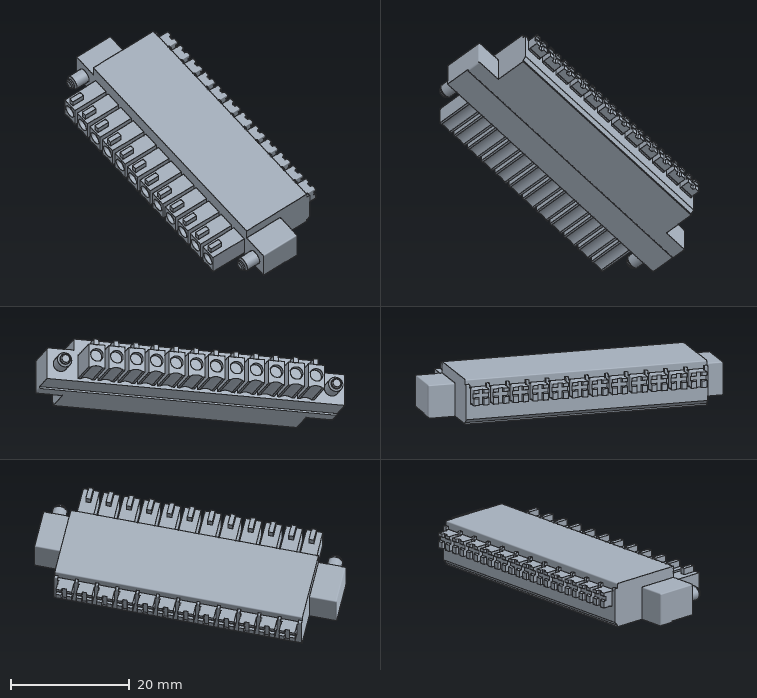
import cadquery as cq


contact_count = 12
pitch = 3.5
contact_xs = [(i - (contact_count - 1) / 2) * pitch for i in range(contact_count)]

housing_width = 42.8
housing_height = 7.8
housing_back = 12.8
lip_back = 13.4
lip_top = 6.95
lip_fillet = 0.15
back_fillet = 0.25
front_step_depth = 4.55
front_step_height = 0.3
back_chamfer_bottom = 0.3
back_chamfer_top = 0.95

overall_width = 52.3
flange_depth = 7.2
flange_height = 5.8
flange_fillet = 0.25

screw_x = 23.8
screw_axis_z = 3.05
screw_radius = 1.25
shank_length = 2.55
tip_radius = 0.9
tip_start = 2.8
screw_length = 3.3
tip_chamfer = 0.2

prong_length = 6.6
prong_root_width = 2.95
prong_end_width = 2.8
prong_bottom = 0.8
prong_top = 4.85
groove_half_width = 1.05
groove_height = 0.3
socket_radius = 1.1
socket_depth = 0.9
socket_axis_z = 3.05

key_width = 0.85
key_length = 2.25
key_setback = 0.3
key_top = 5.95

head_back = 15.2
head_width = 2.7
head_bottom = 3.75
head_top = 6.45
head_fillet = 0.15
head_recess_width = 3.0
foot_length = 0.3
foot_height = 0.1
slot_mouth_width = 0.95
slot_floor_width = 0.7
slot_depth = 0.4
slot_axis_z = 5.4


def block(x0, x1, y0, y1, z0, z1):
    """Box between opposite corners."""
    return cq.Workplane("XY").box(x1 - x0, y1 - y0, z1 - z0, centered=False).translate((x0, y0, z0))


def wide_block(width, y0, y1, z0, z1):
    """Box centred on X = 0."""
    return block(-width / 2, width / 2, y0, y1, z0, z1)


def make_housing():
    """Side profile of the housing, extruded over its width, with the two upper back edges rounded."""
    profile = [
        (0, 0),
        (housing_back, 0),
        (housing_back, back_chamfer_bottom),
        (lip_back, back_chamfer_top),
        (lip_back, lip_top),
        (housing_back, lip_top),
        (housing_back, housing_height),
        (0, housing_height),
    ]
    housing = cq.Workplane("YZ").polyline(profile).close().extrude(housing_width / 2, both=True)
    lip_edge = cq.selectors.NearestToPointSelector((0, lip_back, lip_top))
    back_edge = cq.selectors.NearestToPointSelector((0, housing_back, housing_height))
    return housing.edges(lip_edge).fillet(lip_fillet).edges(back_edge).fillet(back_fillet)


def make_flanges():
    """One bar through the housing that forms both flanges, rounded on its exposed edges."""
    bar = wide_block(overall_width, 0, flange_depth, 0, flange_height)
    return bar.edges("|Y or (|Z and >Y) or (>Z and >Y)").fillet(flange_fillet)


def make_screw():
    """Screw end pointing out of a flange, turned about its own axis."""
    profile = [
        (0, 0),
        (screw_radius, 0),
        (screw_radius, -shank_length),
        (tip_radius, -tip_start),
        (tip_radius, tip_chamfer - screw_length),
        (tip_radius - tip_chamfer, -screw_length),
        (0, -screw_length),
    ]
    screw = cq.Workplane("XY").polyline(profile).close().revolve(360, (0, 0, 0), (0, 1, 0))
    return screw.translate((0, 0, screw_axis_z))


def make_prong():
    """Tapered prong with a round socket, a shallow groove below and a coding key on top."""
    outline = [
        (-prong_root_width / 2, 0),
        (-prong_end_width / 2, -prong_length),
        (prong_end_width / 2, -prong_length),
        (prong_root_width / 2, 0),
    ]
    prong = (
        cq.Workplane("XY", origin=(0, 0, prong_bottom))
        .polyline(outline).close().extrude(prong_top - prong_bottom)
    )
    groove = (
        cq.Workplane("XZ")
        .moveTo(-groove_half_width, prong_bottom)
        .threePointArc((0, prong_bottom + groove_height), (groove_half_width, prong_bottom))
        .close().extrude(prong_length)
    )
    socket = (
        cq.Workplane("XZ", origin=(0, -prong_length, socket_axis_z))
        .circle(socket_radius).extrude(-socket_depth)
    )
    key_front = key_setback - prong_length
    key = wide_block(key_width, key_front, key_front + key_length, socket_axis_z + socket_radius, key_top)
    return prong.union(key).cut(groove).cut(socket)


def slot_profile(centre):
    """Tapered slot profile, wide at the back face of the head."""
    floor_y = head_back - slot_depth
    return [
        (centre - slot_mouth_width / 2, head_back),
        (centre - slot_floor_width / 2, floor_y),
        (centre + slot_floor_width / 2, floor_y),
        (centre + slot_mouth_width / 2, head_back),
    ]


def make_head():
    """Clamp head with one rounded top edge, crossed slots and a foot below its root."""
    head = wide_block(head_width, housing_back, head_back, head_bottom, head_top)
    head = head.edges(">X and >Z").fillet(head_fillet)
    foot = wide_block(head_width, housing_back, lip_back + foot_length, head_bottom - foot_height, slot_axis_z)
    upright_slot = cq.Workplane("XY").polyline(slot_profile(0)).close().extrude(housing_height)
    level_slot = cq.Workplane("YZ").polyline([(y, z) for z, y in slot_profile(slot_axis_z)])
    level_slot = level_slot.close().extrude(head_width, both=True)
    return head.union(foot).cut(upright_slot).cut(level_slot)


def make_head_recess():
    """Opening in the lip above a clamp head."""
    return wide_block(head_recess_width, housing_back, lip_back, head_top, lip_top)


result = make_housing().union(make_flanges())
result = result.cut(wide_block(overall_width, 0, front_step_depth, 0, front_step_height))

for side in (-1, 1):
    result = result.union(make_screw().translate((side * screw_x, 0, 0)))

for x in contact_xs:
    result = result.cut(make_head_recess().translate((x, 0, 0)))
    result = result.union(make_prong().translate((x, 0, 0)))
    result = result.union(make_head().translate((x, 0, 0)))